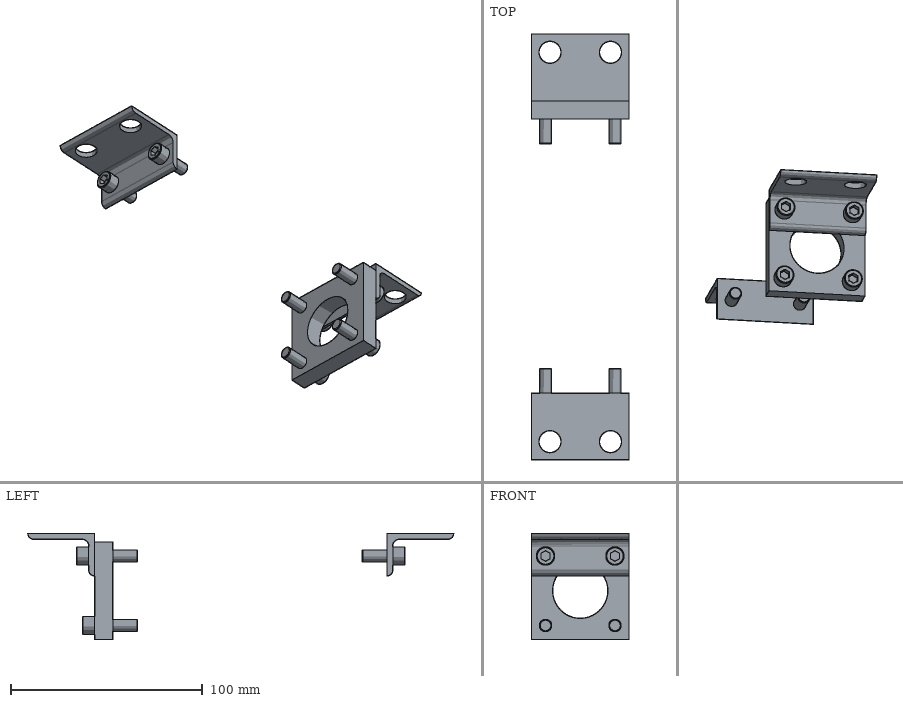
import cadquery as cq

OVERALL_LENGTH = 222.2
WIDTH = 51.0

PLATE_THICKNESS = 9.5
BORE_DIAMETER = 28.7
BOLT_SPACING = 36.2

BRACKET_RISE = 4.5
BRACKET_THICKNESS = 3.1
FOOT_LENGTH = 35.0
LEG_HEIGHT = 22.2
BEND_RADIUS = 3.3
FOOT_HOLE_DIAMETER = 11.3
FOOT_HOLE_SPACING = 31.5
FOOT_HOLE_EDGE_DISTANCE = 9.5

SHANK_DIAMETER = 6.5
SHANK_PROTRUSION = 13.0
SHANK_CHAMFER = 0.5
HEAD_DIAMETER = 9.5
HEAD_HEIGHT = 6.5
HEAD_CHAMFER = 0.5
SOCKET_SIDES = 6
SOCKET_CORNER_DIAMETER = 5.5
SOCKET_DEPTH = 3.3

BRACKET_TOP = WIDTH / 2 + BRACKET_RISE
LEG_BOTTOM = BRACKET_TOP - LEG_HEIGHT
FOOT_UNDERSIDE = BRACKET_TOP - BRACKET_THICKNESS
FOOT_END = OVERALL_LENGTH / 2
LEG_INNER_FACE = FOOT_END - FOOT_LENGTH
LEG_OUTER_FACE = LEG_INNER_FACE + BRACKET_THICKNESS
BOLT_OFFSET = BOLT_SPACING / 2
BOLT_COLUMNS = (-BOLT_OFFSET, BOLT_OFFSET)


def cylinder_toward_center(x, y, z, diameter, length):
    """Cylinder that starts at (x, y, z) and runs in the -Y direction."""
    return cq.Workplane("XZ", origin=(x, y, z)).circle(diameter / 2).extrude(length)


def make_plate():
    """Square plate with a central bore and a bolt hole near each corner."""
    plate = (
        cq.Workplane("XZ", origin=(0, LEG_INNER_FACE, 0))
        .rect(WIDTH, WIDTH)
        .extrude(PLATE_THICKNESS)
    )
    plate = plate.cut(cylinder_toward_center(0, LEG_INNER_FACE, 0, BORE_DIAMETER, PLATE_THICKNESS))
    for x in BOLT_COLUMNS:
        for z in (-BOLT_OFFSET, BOLT_OFFSET):
            plate = plate.cut(
                cylinder_toward_center(x, LEG_INNER_FACE, z, SHANK_DIAMETER, PLATE_THICKNESS)
            )
    return plate


def make_bracket():
    """Bracket on the +Y side: a horizontal foot and a leg that hangs at its inner end.

    The free ends of the foot and the leg are rounded over their full thickness.
    """
    profile = (
        cq.Workplane("YZ", origin=(-WIDTH / 2, 0, 0))
        .moveTo(LEG_INNER_FACE, BRACKET_TOP)
        .lineTo(FOOT_END, BRACKET_TOP)
        .radiusArc((FOOT_END - BRACKET_THICKNESS, FOOT_UNDERSIDE), BRACKET_THICKNESS)
        .lineTo(LEG_OUTER_FACE + BEND_RADIUS, FOOT_UNDERSIDE)
        .radiusArc((LEG_OUTER_FACE, FOOT_UNDERSIDE - BEND_RADIUS), -BEND_RADIUS)
        .lineTo(LEG_OUTER_FACE, LEG_BOTTOM + BRACKET_THICKNESS)
        .radiusArc((LEG_INNER_FACE, LEG_BOTTOM), BRACKET_THICKNESS)
        .close()
    )
    bracket = profile.extrude(WIDTH)

    foot_holes = (
        cq.Workplane("XY", origin=(0, FOOT_END - FOOT_HOLE_EDGE_DISTANCE, FOOT_UNDERSIDE))
        .rarray(FOOT_HOLE_SPACING, 2.2, 2, 1)
        .circle(FOOT_HOLE_DIAMETER / 2)
        .extrude(BRACKET_THICKNESS)
    )
    bracket = bracket.cut(foot_holes)

    for x in BOLT_COLUMNS:
        bracket = bracket.cut(
            cylinder_toward_center(x, LEG_OUTER_FACE, BOLT_OFFSET, SHANK_DIAMETER, BRACKET_THICKNESS)
        )
    return bracket


def make_bolt(x, seat_y, z, grip):
    """Bolt on the +Y side: its head sits at seat_y and its shank passes through the grip."""
    head_top = seat_y + HEAD_HEIGHT
    head = cylinder_toward_center(x, head_top, z, HEAD_DIAMETER, HEAD_HEIGHT)
    head = head.faces(">Y").chamfer(HEAD_CHAMFER)
    socket = (
        cq.Workplane("XZ", origin=(x, head_top, z))
        .transformed(rotate=(0, 0, 90))
        .polygon(SOCKET_SIDES, SOCKET_CORNER_DIAMETER)
        .extrude(SOCKET_DEPTH)
    )
    shank = cylinder_toward_center(x, seat_y, z, SHANK_DIAMETER, grip + SHANK_PROTRUSION)
    shank = shank.faces("<Y").chamfer(SHANK_CHAMFER)
    return head.cut(socket).union(shank)


plate = make_plate()

rear_bracket = make_bracket()
front_bracket = rear_bracket.mirror("XZ")

bolts = []
for x in BOLT_COLUMNS:
    bolts.append(make_bolt(x, LEG_OUTER_FACE, BOLT_OFFSET, BRACKET_THICKNESS + PLATE_THICKNESS))
    bolts.append(make_bolt(x, LEG_INNER_FACE, -BOLT_OFFSET, PLATE_THICKNESS))
    bolts.append(make_bolt(x, LEG_OUTER_FACE, BOLT_OFFSET, BRACKET_THICKNESS).mirror("XZ"))

result = cq.Compound.makeCompound(
    [plate.val(), rear_bracket.val(), front_bracket.val(), *[bolt.val() for bolt in bolts]]
)